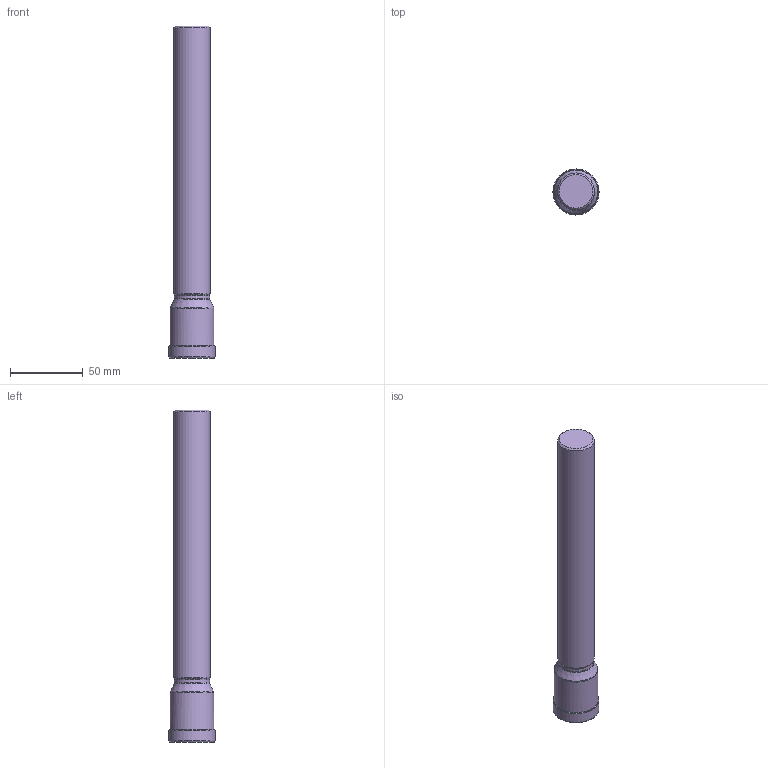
import cadquery as cq

total_length = 228.6
shank_diameter = 25.4
head_diameter = 30.2
neck_diameter = 24.4
cutter_diameter = 31.75

cutter_height = 8.4
shoulder_start = 34.5
neck_bottom = 40.6
neck_top = 43.3
shank_start = 44.2

shank_chamfer = 1.2
blend_radius = 1.5
cutter_top_chamfer = 0.35
cutter_bottom_chamfer_height = 0.75
cutter_bottom_chamfer_width = 0.52

pick_margin = 0.1

shank_radius = shank_diameter / 2
head_radius = head_diameter / 2
neck_radius = neck_diameter / 2
cutter_radius = cutter_diameter / 2
cutter_bottom_radius = cutter_radius - cutter_bottom_chamfer_width


def revolve_about_z(profile):
    """Spin a closed radius-height profile a full turn about the tool axis."""
    return profile.revolve(360, (0, 0, 0), (0, 1, 0))


def make_holder():
    """Round shank, relieved neck, tapered shoulder and cylindrical head, with blended neck corners."""
    profile = (
        cq.Workplane("XZ")
        .moveTo(0, cutter_height)
        .lineTo(head_radius, cutter_height)
        .lineTo(head_radius, shoulder_start)
        .lineTo(neck_radius, neck_bottom)
        .lineTo(neck_radius, neck_top)
        .lineTo(shank_radius, shank_start)
        .lineTo(shank_radius, total_length - shank_chamfer)
        .lineTo(shank_radius - shank_chamfer, total_length)
        .lineTo(0, total_length)
        .close()
    )
    blend_zone = cq.selectors.BoxSelector(
        (-head_radius, -head_radius, shoulder_start - pick_margin),
        (head_radius, head_radius, neck_top + pick_margin),
    )
    return revolve_about_z(profile).edges("%CIRCLE").edges(blend_zone).fillet(blend_radius)


def make_cutter():
    """Cutting disc under the head, with a small upper chamfer and a steeper lower one."""
    profile = (
        cq.Workplane("XZ")
        .lineTo(cutter_bottom_radius, 0)
        .lineTo(cutter_radius, cutter_bottom_chamfer_height)
        .lineTo(cutter_radius, cutter_height - cutter_top_chamfer)
        .lineTo(cutter_radius - cutter_top_chamfer, cutter_height)
        .lineTo(0, cutter_height)
        .close()
    )
    return revolve_about_z(profile)


holder = make_holder()
cutter = make_cutter()

result = cq.Compound.makeCompound([holder.val(), cutter.val()])